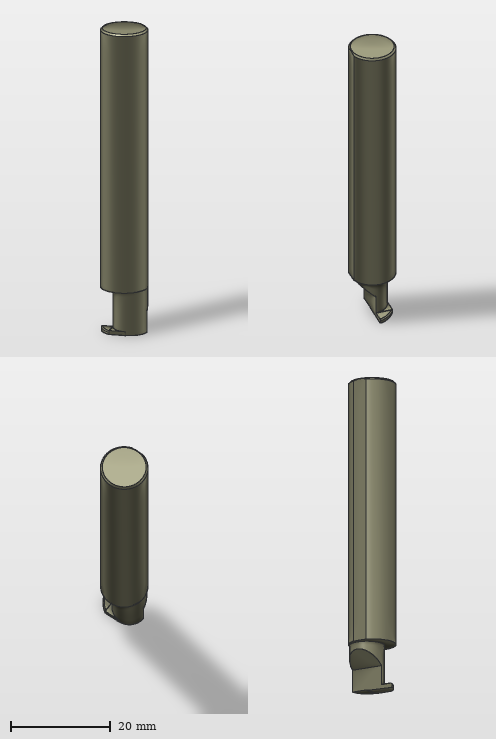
import cadquery as cq

total_length = 63.5
shank_radius = 4.75
shank_flat_y = 4.5
shank_bottom = 9.45
end_chamfer = 0.4

neck_radius = 3.5
neck_x = shank_radius - neck_radius
neck_bottom = 0.3

relief_start_z = 8.0
relief_end_z = 4.8

tip_x = -shank_radius
tip_low_x = -4.45
heel_x = -2.2
heel_y = -neck_radius
flank_mid = (-3.7, -2.15)
tooth_top = 0.95
ledge_top = 1.1
tooth_edge_chamfer = 0.25
end_clearance = 0.25
dish_rise = 0.2
tip_rise = 0.1


def make_shank():
    """Round bar with a chamfered top end and one flat on the +Y side."""
    bar = (
        cq.Workplane("XY")
        .workplane(offset=shank_bottom)
        .circle(shank_radius)
        .extrude(total_length - shank_bottom)
        .faces(">Z")
        .chamfer(end_chamfer)
    )
    flat_cutter = cq.Workplane("XY").box(
        2 * shank_radius, shank_radius, total_length, centered=(True, False, False)
    )
    return bar.cut(flat_cutter.translate((0, shank_flat_y, 0)))


def make_neck():
    """Eccentric cylinder, cut back to y = 0 below a sloping relief."""
    neck = (
        cq.Workplane("XY", origin=(neck_x, 0, neck_bottom))
        .circle(neck_radius)
        .extrude(shank_bottom - neck_bottom)
    )
    relief = (
        cq.Workplane("YZ")
        .moveTo(0, 0)
        .lineTo(neck_radius, 0)
        .lineTo(neck_radius, relief_start_z)
        .lineTo(0, relief_end_z)
        .close()
        .extrude(2 * shank_radius, both=True)
    )
    return neck.cut(relief)


def make_head():
    """Tooth with a curved flank, joined to a ledge under the neck."""
    tooth = (
        cq.Workplane("XY")
        .moveTo(tip_x, 0)
        .threePointArc(flank_mid, (heel_x, heel_y))
        .lineTo(heel_x, 0)
        .close()
        .extrude(tooth_top)
        .edges(">Z and (not #Y) and (not #X)")
        .chamfer(tooth_edge_chamfer)
    )
    ledge = (
        cq.Workplane("XY")
        .moveTo(heel_x, 0)
        .lineTo(heel_x, heel_y)
        .lineTo(neck_x, heel_y)
        .lineTo(neck_x, 0)
        .close()
        .extrude(ledge_top)
    )
    clearance_wedge = (
        cq.Workplane("YZ")
        .polyline([(0, 0), (heel_y, 0), (heel_y, end_clearance)])
        .close()
        .extrude(2 * shank_radius, both=True)
    )
    dish_wedge = (
        cq.Workplane("XZ")
        .polyline([(tip_low_x, 0), (neck_x, 0), (neck_x, dish_rise)])
        .close()
        .extrude(neck_radius)
    )
    tip_wedge = (
        cq.Workplane("XZ")
        .polyline([(tip_low_x, 0), (tip_x, 0), (tip_x, tip_rise)])
        .close()
        .extrude(neck_radius)
    )
    return tooth.union(ledge).cut(clearance_wedge).cut(dish_wedge).cut(tip_wedge)


result = make_shank().union(make_neck()).union(make_head())